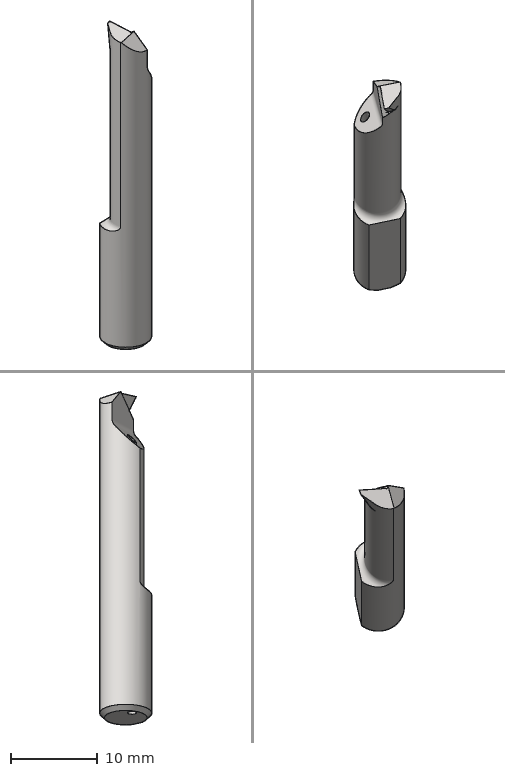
import cadquery as cq
import math

total_length = 40.0
shank_radius = 3.0

shank_length = 15.0
flat_x = -2.35
foot_chamfer = 0.55

neck_radius = 2.75
neck_center_x = 1.18
neck_root_radius = 0.8

wall_y = 0.05
ramp_start_z = 35.25
ramp_end_z = 32.1
ramp_corner_radius = 1.3

hole_diameter = 1.0
hole_x = 1.0
hole_y = 1.5

tip = (-2.25, 0.0, total_length)
head_bottom_z = 37.45
side_angle = 45.0
flank_angle = 20.5
nose_clearance_angle = 4.0
end_slope_x = 7.0
end_slope_y = 7.0

bevel_start_x = 1.13
bevel_slope_x = 45.0
bevel_slope_y = 4.0

rake_slope_x = 3.5
rake_slope_z = 14.0
groove_floor_z = 37.0
groove_floor_slope_x = 44.0
groove_floor_slope_y = 19.0

cutting_block_size = 100.0


def slope(angle):
    """Rise per unit run of an angle in degrees."""
    return math.tan(math.radians(angle))


def half_space(origin, normal):
    """Large block filling the side of a plane that its normal points to."""
    plane = cq.Plane(origin=origin, normal=normal)
    return cq.Workplane(plane).rect(cutting_block_size, cutting_block_size).extrude(cutting_block_size)


def make_shank():
    bar = cq.Workplane("XY").circle(shank_radius).extrude(shank_length)
    bar = bar.faces("<Z").chamfer(foot_chamfer)
    return bar.cut(half_space((flat_x, 0, 0), (-1, 0, 0)))


def make_neck():
    """Offset cylinder whose root flares out, trimmed to the shank outline."""
    flare_radius = neck_radius + neck_root_radius
    neck = (
        cq.Workplane("XZ", origin=(neck_center_x, 0, 0))
        .moveTo(0, shank_length)
        .lineTo(flare_radius, shank_length)
        .radiusArc((neck_radius, shank_length + neck_root_radius), neck_root_radius)
        .lineTo(neck_radius, total_length)
        .lineTo(0, total_length)
        .close()
        .revolve(360, (0, 0, 0), (0, 1, 0))
    )
    outline = cq.Workplane("XY").circle(shank_radius).extrude(total_length)
    outline = outline.cut(half_space((flat_x, 0, 0), (-1, 0, 0)))
    return neck.intersect(outline)


def make_head():
    """Pointed block that carries the tip out past the neck; its side face is tangent to the neck."""
    side_direction = math.radians(side_angle)
    tangent_x = neck_center_x - neck_radius * math.sin(side_direction)
    tangent_y = -neck_radius * math.cos(side_direction)
    nose_y = tangent_y + (tangent_x - tip[0]) * slope(side_angle)
    return (
        cq.Workplane("XY", origin=(0, 0, head_bottom_z))
        .polyline([
            (tip[0], wall_y),
            (tip[0], nose_y),
            (tangent_x, tangent_y),
            (neck_center_x, wall_y),
        ])
        .close()
        .extrude(total_length - head_bottom_z)
    )


def make_flank_cut():
    """Clearance below the tip, taken from both the head and the neck down to the head bottom."""
    flank_normal = (-1, -slope(nose_clearance_angle), -slope(flank_angle))
    above_head_bottom = half_space((0, 0, head_bottom_z), (0, 0, 1))
    return half_space(tip, flank_normal).intersect(above_head_bottom)


def make_relief():
    """Material removed on +Y above the ramp."""
    ramp_run = neck_radius - wall_y
    ramp_slope = (ramp_start_z - ramp_end_z) / ramp_run
    outer_y = 2 * neck_radius
    outer_z = ramp_start_z - (outer_y - wall_y) * ramp_slope
    return (
        cq.Workplane("YZ", origin=(-cutting_block_size / 2, 0, 0))
        .polyline([
            (wall_y, ramp_start_z),
            (outer_y, outer_z),
            (outer_y, total_length),
            (wall_y, total_length),
        ])
        .close()
        .extrude(cutting_block_size)
        .edges(cq.selectors.NearestToPointSelector((0, wall_y, ramp_start_z)))
        .fillet(ramp_corner_radius)
    )


def make_groove():
    """Chip groove between the rake face and a floor that climbs toward +X."""
    rake = half_space(tip, (slope(rake_slope_x), 1, -slope(rake_slope_z)))
    floor_start = (neck_center_x - neck_radius, 0, groove_floor_z)
    floor_normal = (-slope(groove_floor_slope_x), slope(groove_floor_slope_y), 1)
    return rake.intersect(half_space(floor_start, floor_normal))


def make_end_cut():
    """Material above the sloping end face."""
    return half_space(tip, (slope(end_slope_x), -slope(end_slope_y), 1))


def make_bevel_cut():
    """Material above the bevel that falls away toward +X."""
    bevel_start_z = total_length - (bevel_start_x - tip[0]) * slope(end_slope_x)
    start = (bevel_start_x, 0, bevel_start_z)
    return half_space(start, (slope(bevel_slope_x), -slope(bevel_slope_y), 1))


def make_hole():
    return (
        cq.Workplane("XY")
        .center(hole_x, hole_y)
        .circle(hole_diameter / 2)
        .extrude(total_length)
    )


result = make_shank().union(make_neck()).cut(make_relief()).union(make_head())
cutters = (make_flank_cut(), make_groove(), make_end_cut(), make_bevel_cut(), make_hole())
for cutter in cutters:
    result = result.cut(cutter)